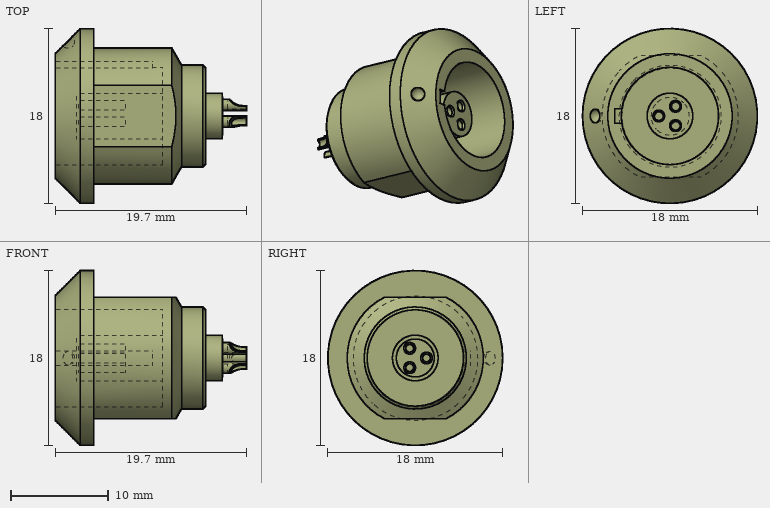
import cadquery as cq
import math

total_length = 19.7
cone_length = 2.6
flange_back = 4.0
body_back = 12.0
shoulder_back = 13.0
tail_back = 15.5
insert_front = 2.2
insert_back = 17.2
insert_step_back = 17.25

flange_radius = 9.0
face_radius = flange_radius - cone_length
body_radius = 7.0
tail_radius = 5.25
tail_chamfer = 0.3
across_flats = 12.5

cavity_radius = 5.0
cavity_depth = 11.0
keyway_width = 1.5
keyway_reach = 5.65
keyway_depth = 10.0

dot_radius = 0.7

insert_radius = 2.35
insert_step_radius = 1.95

contact_count = 3
contact_circle_radius = 1.15
contact_radius = 0.6
entry_radius = 0.6
socket_radius = 0.48
entry_depth = 0.2
socket_depth = 5.0

cup_bore_radius = 0.4
cup_bore_depth = 2.0
relief_radius = 1.15
relief_straight_start = 19.3
relief_arc_radius = 1.93
contact_outer_radius = contact_circle_radius + contact_radius


def cylinder_x(radius, start, end, y=0.0, z=0.0):
    """Cylinder parallel to X between two stations."""
    return cq.Workplane("YZ", origin=(start, y, z)).circle(radius).extrude(end - start)


def revolve_about_axis(profile):
    """Full revolution of an XY profile about the X axis."""
    return profile.revolve(360, (0, 0, 0), (1, 0, 0))


def contact_positions():
    """Y and Z of each contact, starting at the keyway side."""
    positions = []
    for index in range(contact_count):
        angle = 2 * math.pi * index / contact_count
        y = contact_circle_radius * math.cos(angle)
        z = contact_circle_radius * math.sin(angle)
        positions.append((y, z))
    return positions


def make_flange():
    return revolve_about_axis(
        cq.Workplane("XY")
        .moveTo(0, 0)
        .lineTo(0, face_radius)
        .lineTo(cone_length, flange_radius)
        .lineTo(flange_back, flange_radius)
        .lineTo(flange_back, 0)
        .close()
    )


def make_body():
    """Round barrel with a conical shoulder and tail, flattened on top and bottom."""
    barrel = revolve_about_axis(
        cq.Workplane("XY")
        .moveTo(flange_back, 0)
        .lineTo(flange_back, body_radius)
        .lineTo(body_back, body_radius)
        .lineTo(shoulder_back, tail_radius)
        .lineTo(tail_back - tail_chamfer, tail_radius)
        .lineTo(tail_back, tail_radius - tail_chamfer)
        .lineTo(tail_back, 0)
        .close()
    )
    flats = cq.Workplane("XY").box(2 * total_length, 2 * body_radius, across_flats)
    return barrel.intersect(flats)


def make_cavity():
    """Round front cavity with a slightly shorter keyway on the +Y side."""
    keyway = cq.Workplane("XY").box(
        keyway_depth, keyway_reach, keyway_width, centered=(False, False, True)
    )
    return cylinder_x(cavity_radius, 0, cavity_depth).union(keyway)


def make_dot():
    """Spherical dimple centred halfway up the front cone."""
    center_y = (face_radius + flange_radius) / 2
    return cq.Workplane("XY").sphere(dot_radius).translate((cone_length / 2, center_y, 0))


def make_insert():
    insert = cylinder_x(insert_radius, insert_front, insert_back)
    return insert.union(cylinder_x(insert_step_radius, insert_back, insert_step_back))


def make_socket(y, z):
    """Contact hole with a tapered entry in the insert face."""
    hole = cylinder_x(socket_radius, insert_front, insert_front + socket_depth, y, z)
    entry = (
        cq.Workplane("YZ", origin=(insert_front, y, z))
        .circle(entry_radius)
        .workplane(offset=entry_depth)
        .circle(socket_radius)
        .loft()
    )
    return hole.union(entry)


def make_cup_relief():
    """Ring that opens the outward side of every solder cup with a curved run-out."""
    arc_center_radius = relief_radius + relief_arc_radius
    apex_drop = arc_center_radius - contact_outer_radius
    apex_x = relief_straight_start - math.sqrt(relief_arc_radius**2 - apex_drop**2)
    half_sweep = math.asin((relief_straight_start - apex_x) / relief_arc_radius) / 2
    middle_x = relief_straight_start - relief_arc_radius * math.sin(half_sweep)
    middle_radius = arc_center_radius - relief_arc_radius * math.cos(half_sweep)
    return revolve_about_axis(
        cq.Workplane("XY")
        .moveTo(total_length, relief_radius)
        .lineTo(relief_straight_start, relief_radius)
        .threePointArc((middle_x, middle_radius), (apex_x, contact_outer_radius))
        .lineTo(apex_x, insert_radius)
        .lineTo(total_length, insert_radius)
        .close()
    )


def make_solder_cup(y, z, relief):
    pin = cylinder_x(contact_radius, insert_back, total_length, y, z)
    bore = cylinder_x(cup_bore_radius, total_length - cup_bore_depth, total_length, y, z)
    return pin.cut(bore).cut(relief)


shell = make_flange().union(make_body()).cut(make_cavity()).cut(make_dot())
result = shell.union(make_insert())

cup_relief = make_cup_relief()
for contact_y, contact_z in contact_positions():
    result = result.cut(make_socket(contact_y, contact_z))
    result = result.union(make_solder_cup(contact_y, contact_z, cup_relief))